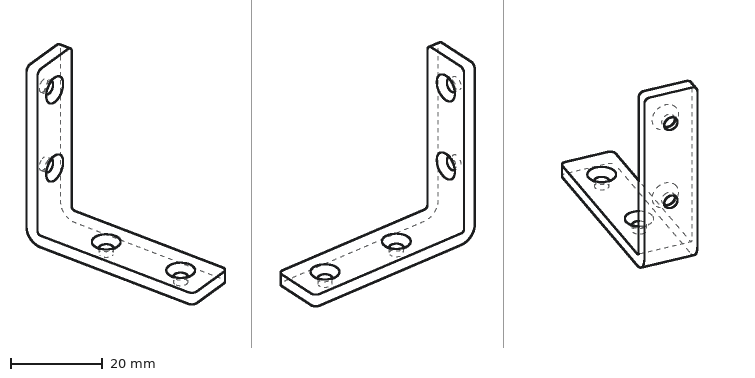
import cadquery as cq

leg_length = 44.85
width = 12.7
thickness = 3.0
inner_bend_radius = 0.8
outer_bend_radius = inner_bend_radius + thickness
corner_radius = 1.3

hole_diameter = 3.15
sink_diameter = 6.3
sink_angle = 90.0
end_to_hole = 8.0
hole_spacing = 20.0
hole_offsets = [leg_length - end_to_hole - i * hole_spacing for i in range(2)]


def bent_strip():
    """L-shaped strip centred on Y, with a rounded bend at the origin corner."""
    return (
        cq.Workplane("XZ")
        .polyline([
            (0, 0),
            (leg_length, 0),
            (leg_length, thickness),
            (thickness, thickness),
            (thickness, leg_length),
            (0, leg_length),
        ])
        .close()
        .extrude(width / 2, both=True)
        .edges(cq.selectors.NearestToPointSelector((0, 0, 0)))
        .fillet(outer_bend_radius)
        .edges(cq.selectors.NearestToPointSelector((thickness, 0, thickness)))
        .fillet(inner_bend_radius)
    )


def add_holes(body, face_plane, positions):
    """Drill through a leg, countersinking from its inner face."""
    return (
        body.copyWorkplane(cq.Workplane(face_plane))
        .pushPoints(positions)
        .cskHole(hole_diameter, sink_diameter, sink_angle, depth=thickness)
    )


floor_plane = cq.Plane(origin=(0, 0, thickness), xDir=(1, 0, 0), normal=(0, 0, 1))
wall_plane = cq.Plane(origin=(thickness, 0, 0), xDir=(0, 1, 0), normal=(1, 0, 0))

bracket = bent_strip()
bracket = bracket.faces(">X").edges("|Z").fillet(corner_radius)
bracket = bracket.faces(">Z").edges("|X").fillet(corner_radius)
bracket = add_holes(bracket, floor_plane, [(x, 0) for x in hole_offsets])
bracket = add_holes(bracket, wall_plane, [(0, z) for z in hole_offsets])

result = bracket